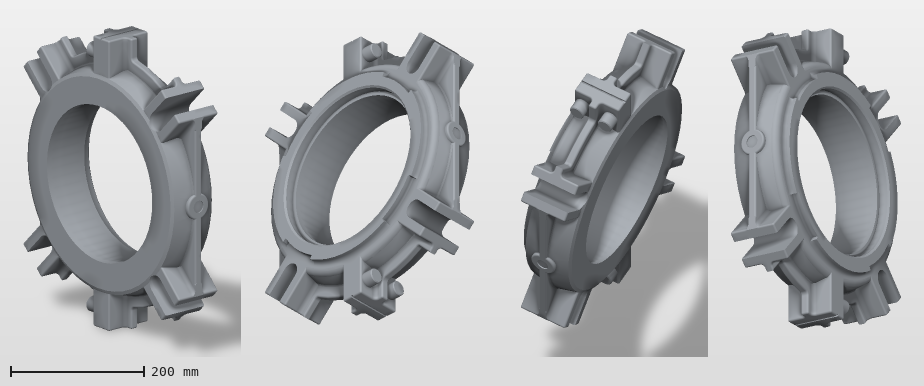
import cadquery as cq
import math

HALF_HEIGHT = 228.5
HALF_WIDTH = 181.5
CASTING_HALF_DEPTH = 38.5
FRONT_Y = -41.0
BACK_Y = 49.0

BORE_RADIUS = 244.5 / 2
BACK_BORE_RADIUS = 257.5 / 2
BACK_BORE_DEPTH = 17.0
BACK_BORE_CHAMFER = 2.7
BODY_MID_RADIUS = 179.5
BODY_FRONT_RADIUS = 170.5
BODY_BACK_ROUND = 9.5
RIM_RADIUS = 330.0 / 2
COLLAR_RADIUS = 153.0
COLLAR_ROOT_RADIUS = 5.0
COLLAR_RECESS_RADIUS = 146.5
COLLAR_RECESS_ANGLE = 30.0
COLLAR_RECESS_ROOT_RADIUS = 2.7

WEB_HALF_THICKNESS = 6.5
WEB_RADIUS = 197.0
WEB_CORNER_RADIUS = 6.0
SIDE_FLAT_HALF_HEIGHT = 137.0
EDGE_RADIUS = 2.7
ROOT_RADIUS = 6.0
BODY_ROOT_RADIUS = 3.5

BLOCK_HALF_WIDTH = 18.7
BLOCK_WEB_HALF_WIDTH = 33.0
SPLIT_GROOVE_WIDTH = 3.5
SPLIT_GROOVE_DEPTH = 2.7
BOLT_DIAMETER = 24.0
BOLT_HEAD_END_X = -38.0
BOLT_Z = 200.5
BOLT_Y = 24.2
BOLT_CHAMFER = 1.5

ARM_ANGLES = (45, 135, 225, 315)
ARM_END = 227.5
ARM_HALF_WIDTH = 30.0
ARM_WEB_HALF_WIDTH = 43.5
SLOT_HALF_WIDTH = 14.85
SLOT_END_CENTER = 181.5

PAD_DIAMETER = 40.5
PAD_HOLE_DIAMETER = 19.0
PAD_HOLE_DEPTH = 2.0

ORIGIN = (0, 0, 0)
RING_AXIS = (0, 1, 0)
ROOT_START = 151.0
BODY_SLOPE = (BODY_MID_RADIUS - BODY_FRONT_RADIUS) / CASTING_HALF_DEPTH


def centered_box(width, depth, height):
    return cq.Workplane("XY").box(width, depth, height)


def y_disc(radius, half_depth):
    return cq.Workplane("XZ").circle(radius).extrude(half_depth, both=True)


def turned(shape, angle):
    return shape.rotate(ORIGIN, RING_AXIS, angle)


def edges_at(x, z):
    """Selector for the edges parallel to the ring axis at (x, z) and at (x, -z)."""
    reach = 1.5
    near_top = cq.selectors.BoxSelector((x - reach, -BACK_Y, z - reach), (x + reach, BACK_Y, z + reach))
    near_bottom = cq.selectors.BoxSelector((x - reach, -BACK_Y, -z - reach), (x + reach, BACK_Y, -z + reach))
    return near_top + near_bottom


def radial_cross(plate_half_width, web_half_width, end):
    """Plate crossed by the web, pointing along +Z, with rounded inner corners and edges."""
    depth = 2 * CASTING_HALF_DEPTH
    height = end - ROOT_START
    margin = 0.5
    plate = cq.Workplane("XY").rect(2 * plate_half_width, depth).extrude(height)
    web = cq.Workplane("XY").rect(2 * web_half_width, 2 * WEB_HALF_THICKNESS).extrude(height)
    inner_corners = cq.selectors.BoxSelector(
        (-plate_half_width - margin, -WEB_HALF_THICKNESS - margin, 0),
        (plate_half_width + margin, WEB_HALF_THICKNESS + margin, height),
    )
    cross = plate.union(web).edges("|Z").edges(inner_corners).fillet(ROOT_RADIUS)
    cross = cross.edges("|Z").edges("<X or >X or <Y or >Y").fillet(EDGE_RADIUS)
    cross = cross.faces(">Z").edges().fillet(EDGE_RADIUS)
    return cross.translate((0, 0, ROOT_START))


def ring_body():
    tangent_y = CASTING_HALF_DEPTH - BODY_BACK_ROUND
    back_radius = BODY_MID_RADIUS - BODY_SLOPE * tangent_y
    bend = BODY_BACK_ROUND * math.sqrt(0.5)
    round_mid = (back_radius - BODY_BACK_ROUND + bend, tangent_y + bend)
    return (
        cq.Workplane("XY")
        .moveTo(BORE_RADIUS, FRONT_Y)
        .lineTo(RIM_RADIUS, FRONT_Y)
        .lineTo(BODY_FRONT_RADIUS, -CASTING_HALF_DEPTH)
        .lineTo(BODY_MID_RADIUS, 0)
        .lineTo(back_radius, tangent_y)
        .threePointArc(round_mid, (back_radius - BODY_BACK_ROUND, CASTING_HALF_DEPTH))
        .lineTo(COLLAR_RADIUS + COLLAR_ROOT_RADIUS, CASTING_HALF_DEPTH)
        .radiusArc((COLLAR_RADIUS, CASTING_HALF_DEPTH + COLLAR_ROOT_RADIUS), COLLAR_ROOT_RADIUS)
        .lineTo(COLLAR_RADIUS, BACK_Y)
        .lineTo(BACK_BORE_RADIUS + BACK_BORE_CHAMFER, BACK_Y)
        .lineTo(BACK_BORE_RADIUS, BACK_Y - BACK_BORE_CHAMFER)
        .lineTo(BACK_BORE_RADIUS, BACK_Y - BACK_BORE_DEPTH)
        .lineTo(BORE_RADIUS, BACK_Y - BACK_BORE_DEPTH)
        .close()
        .revolve(360, ORIGIN, RING_AXIS)
    )


def web_plate():
    thickness = 2 * WEB_HALF_THICKNESS
    web = y_disc(WEB_RADIUS, WEB_HALF_THICKNESS)
    web = web.union(centered_box(2 * BLOCK_WEB_HALF_WIDTH, thickness, 2 * HALF_HEIGHT))
    arm_pair = centered_box(2 * ARM_WEB_HALF_WIDTH, thickness, 2 * ARM_END)
    for angle in ARM_ANGLES[:2]:
        web = web.union(turned(arm_pair, angle))
    for x in (-BLOCK_WEB_HALF_WIDTH, BLOCK_WEB_HALF_WIDTH):
        web = web.edges("|Y").edges(edges_at(x, math.sqrt(WEB_RADIUS**2 - x**2))).fillet(WEB_CORNER_RADIUS)
    along_arm = math.sqrt(WEB_RADIUS**2 - ARM_WEB_HALF_WIDTH**2)
    inner_x = (along_arm - ARM_WEB_HALF_WIDTH) * math.sqrt(0.5)
    inner_z = (along_arm + ARM_WEB_HALF_WIDTH) * math.sqrt(0.5)
    for x in (-inner_x, inner_x):
        web = web.edges("|Y").edges(edges_at(x, inner_z)).fillet(WEB_CORNER_RADIUS)
    web = web.union(centered_box(2 * HALF_WIDTH, thickness, 2 * SIDE_FLAT_HALF_HEIGHT))
    web = web.intersect(centered_box(2 * HALF_WIDTH, thickness, 2 * HALF_HEIGHT))
    web = web.edges("|Y").edges("<Z or >Z").fillet(ROOT_RADIUS)
    web = web.cut(y_disc(ROOT_START, WEB_HALF_THICKNESS))
    return web.faces("<Y or >Y").edges().fillet(EDGE_RADIUS)


def body_root():
    """Concave rounding where the ring body meets both faces of the web."""
    radius = BODY_ROOT_RADIUS
    body_radius = BODY_MID_RADIUS - BODY_SLOPE * WEB_HALF_THICKNESS
    start = body_radius - radius
    profile = (
        cq.Workplane("XY")
        .moveTo(start, 0)
        .lineTo(body_radius + radius, 0)
        .lineTo(body_radius + radius, WEB_HALF_THICKNESS)
        .radiusArc((body_radius - BODY_SLOPE * radius, WEB_HALF_THICKNESS + radius), radius)
        .lineTo(start, WEB_HALF_THICKNESS + radius)
        .close()
    )
    half = profile.revolve(360, ORIGIN, RING_AXIS)
    inside_flats = centered_box(2 * (HALF_WIDTH - EDGE_RADIUS), 2 * BACK_Y, 2 * HALF_HEIGHT)
    return half.union(half.mirror("XZ")).intersect(inside_flats)


def clamp_block():
    return radial_cross(BLOCK_HALF_WIDTH, BLOCK_WEB_HALF_WIDTH, HALF_HEIGHT)


def split_groove():
    groove = centered_box(SPLIT_GROOVE_WIDTH, 4 * CASTING_HALF_DEPTH, 2 * SPLIT_GROOVE_DEPTH)
    return groove.translate((0, 0, HALF_HEIGHT))


def bolt_heads(z):
    """Pair of bolt heads on the -X face of a clamp block, reaching into the block."""
    heads = (
        cq.Workplane("YZ", origin=(BOLT_HEAD_END_X, 0, z))
        .pushPoints([(-BOLT_Y, 0), (BOLT_Y, 0)])
        .circle(BOLT_DIAMETER / 2)
        .extrude(-BOLT_HEAD_END_X)
    )
    return heads.faces("<X").chamfer(BOLT_CHAMFER)


def slot_cutter():
    """Round-ended slot between the two prongs of an arm, pointing along +Z."""
    length = ARM_END - SLOT_END_CENTER + 4.5
    straight = centered_box(2 * SLOT_HALF_WIDTH, 2 * BACK_Y, length)
    straight = straight.translate((0, 0, SLOT_END_CENTER + length / 2))
    return straight.union(y_disc(SLOT_HALF_WIDTH, BACK_Y).translate((0, 0, SLOT_END_CENTER)))


def side_pad():
    length = HALF_WIDTH - ROOT_START
    pad = cq.Workplane("YZ", origin=(ROOT_START, 0, 0)).circle(PAD_DIAMETER / 2).extrude(length)
    return pad.faces(">X").edges().fillet(EDGE_RADIUS)


def pad_hole():
    start = HALF_WIDTH - PAD_HOLE_DEPTH
    return cq.Workplane("YZ", origin=(start, 0, 0)).circle(PAD_HOLE_DIAMETER / 2).extrude(PAD_HOLE_DEPTH)


def collar_recess():
    """Shallow arc-shaped recess in the outside of the back collar, centred on +Z."""
    inner = COLLAR_RECESS_RADIUS
    outer = COLLAR_RADIUS + COLLAR_ROOT_RADIUS
    root = COLLAR_RECESS_ROOT_RADIUS
    profile = (
        cq.Workplane("YZ")
        .moveTo(BACK_Y, inner)
        .lineTo(CASTING_HALF_DEPTH + root, inner)
        .radiusArc((CASTING_HALF_DEPTH, inner + root), root)
        .lineTo(CASTING_HALF_DEPTH, outer)
        .lineTo(BACK_Y, outer)
        .close()
    )
    sector = profile.revolve(COLLAR_RECESS_ANGLE, ORIGIN, (1, 0, 0))
    return turned(sector, -COLLAR_RECESS_ANGLE / 2)


part = ring_body().union(web_plate()).union(body_root())

for side in (1, -1):
    block_angle = 90 - 90 * side
    part = part.union(turned(clamp_block(), block_angle)).union(bolt_heads(side * BOLT_Z))

side_limit = centered_box(2 * HALF_WIDTH, 4 * BACK_Y, 2 * HALF_HEIGHT)
arm = radial_cross(ARM_HALF_WIDTH, ARM_WEB_HALF_WIDTH, ARM_END)
for angle in ARM_ANGLES:
    part = part.union(turned(arm, angle).intersect(side_limit))

for angle in (0, 180):
    part = part.union(turned(side_pad(), angle))

for angle in ARM_ANGLES:
    part = part.cut(turned(slot_cutter(), angle)).cut(turned(collar_recess(), angle))
for angle in (0, 180):
    part = part.cut(turned(split_groove(), angle)).cut(turned(pad_hole(), angle))

result = part